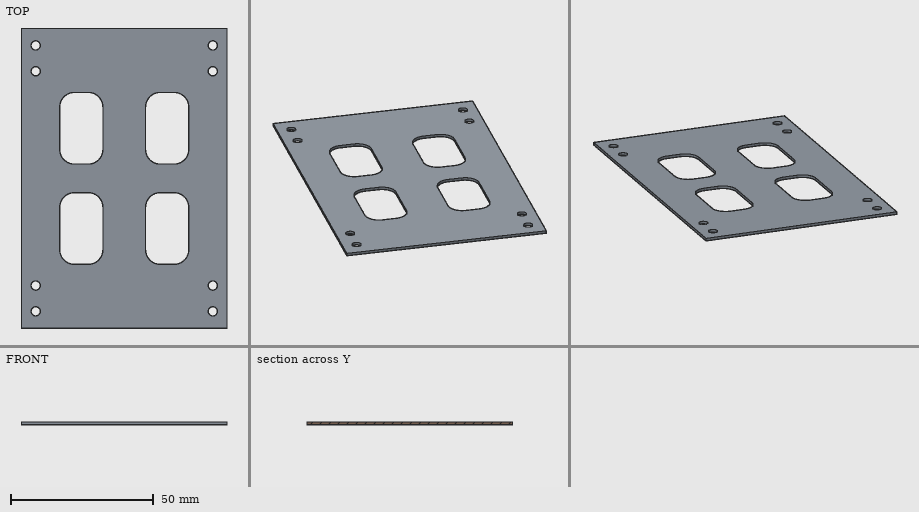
import cadquery as cq

plate_width = 72.0
plate_length = 105
plate_thickness = 1.0

window_width = 15.0
window_length = 25.0
window_corner_radius = 5.0
window_spacing_x = 2 * window_width
window_spacing_y = 35.1

hole_diameter = 3.2
hole_spacing_x = 62
outer_hole_spacing_y = 93.0
inner_hole_spacing_y = 75.0

plate = cq.Workplane("XY").box(plate_width, plate_length, plate_thickness)

windows = (
    cq.Workplane("XY")
    .rarray(window_spacing_x, window_spacing_y, 2, 2)
    .rect(window_width, window_length)
    .extrude(plate_thickness, both=True)
    .edges("|Z")
    .fillet(window_corner_radius)
)
result = plate.cut(windows)

for hole_spacing_y in (outer_hole_spacing_y, inner_hole_spacing_y):
    result = (
        result.faces(">Z")
        .workplane(origin=(0, 0, 0))
        .rarray(hole_spacing_x, hole_spacing_y, 2, 2)
        .hole(hole_diameter)
    )